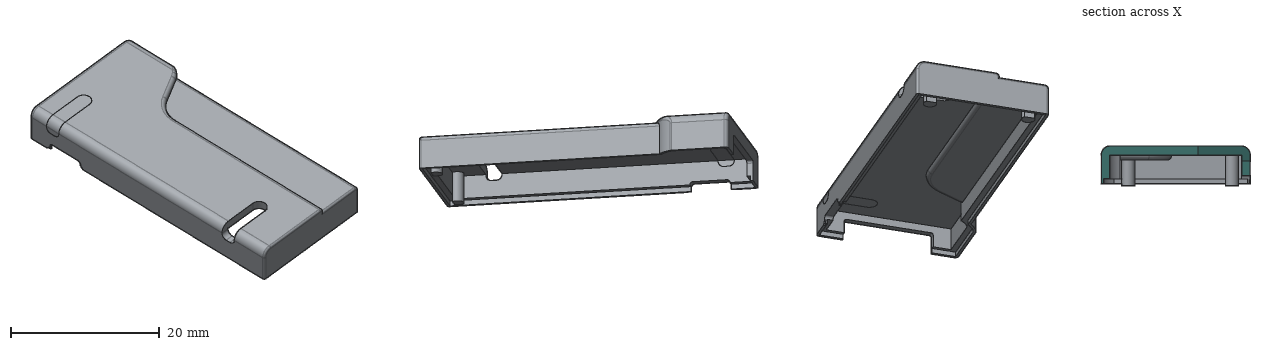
import cadquery as cq
import math

length = 42.7
width = 20.05
height = 5.12
side_radius = 1.3
left_end_radius = 0.55
right_end_radius = 0.3

step_drop = 0.65
step_radius = 0.6
step_y = 11.8
recess_back_y = 18.75
bend_radius = 4.25
lower_bend_x = 15.92
slope_length = 4.25
slope_angle = math.atan(2)

roof = 1.3
left_wall = 0.85
side_wall = 1.2
right_wall = 1.3
rim_wall = 0.4
rim_height = 0.7

slot_width = 2.2
slot_radius = slot_width / 2
slot_end_y = 7.25
slot_bottom = 3.0
slot_corner_radius = 0.75
open_slot_x = 36.1
plug_x = 4.23

end_opening_front = 3.75
end_opening_back = 16.35
end_opening_height = 2.77
end_opening_radius = 0.35

front_opening_left = 3.7
front_opening_right = 9.2
front_opening_height = 1.1
front_opening_radius = 0.43
flare = 0.5
flare_depth = rim_wall / 2

post_radius = 0.9
post_x = 40.85
post_ys = (2.48, 16.4)
post_drop = 0.25


lower_center = (lower_bend_x, step_y + bend_radius)
upper_center = (
    lower_bend_x - 2 * bend_radius * math.sin(slope_angle) - slope_length * math.cos(slope_angle),
    lower_center[1] - 2 * bend_radius * math.cos(slope_angle) + slope_length * math.sin(slope_angle),
)
step_middle_x = (lower_bend_x + length) / 2
slope_normal_angle = math.pi / 2 - slope_angle


def on_upper_bend(angle, inset):
    """Point of the convex bend, with the step drawn inwards by inset."""
    radius = bend_radius - inset
    return (upper_center[0] + radius * math.cos(angle), upper_center[1] + radius * math.sin(angle))


def on_lower_bend(angle, inset):
    """Point of the concave bend, with the step drawn inwards by inset."""
    radius = bend_radius + inset
    return (lower_center[0] - radius * math.cos(angle), lower_center[1] - radius * math.sin(angle))


def upper_bend_angle(y, inset):
    """Angle at which the convex bend crosses the given y."""
    return math.asin((y - upper_center[1]) / (bend_radius - inset))


def footprint(left=0, side=0, right=0):
    """Plan of the whole housing, with each wall drawn inwards by the given amount."""
    back = width - side
    recess_back = recess_back_y - side
    start = upper_bend_angle(back, side)
    end = upper_bend_angle(recess_back, side)
    return (
        cq.Workplane("XY")
        .moveTo(left, side)
        .lineTo(left, back)
        .lineTo(*on_upper_bend(start, side))
        .threePointArc(on_upper_bend((start + end) / 2, side), on_upper_bend(end, side))
        .lineTo(length - right, recess_back)
        .lineTo(length - right, side)
        .close()
    )


def step_slab(bottom, inset=0):
    """Slab as thick as the step is high, lying behind the S-curve moved inwards by inset."""
    start = upper_bend_angle(recess_back_y, inset)
    slope = slope_normal_angle
    lowest = math.pi / 2
    return (
        cq.Workplane("XY", origin=(0, 0, bottom))
        .moveTo(*on_upper_bend(start, inset))
        .threePointArc(on_upper_bend((start + slope) / 2, inset), on_upper_bend(slope, inset))
        .lineTo(*on_lower_bend(slope, inset))
        .threePointArc(on_lower_bend((slope + lowest) / 2, inset), on_lower_bend(lowest, inset))
        .lineTo(length, step_y - inset)
        .lineTo(length, recess_back_y)
        .close()
        .extrude(step_drop)
    )


def nearest_edge(x, y, z):
    return cq.selectors.NearestToPointSelector((x, y, z))


def outer_block():
    """Solid outer shape: rounded long edges, S-shaped step and rounded ends."""
    rounded = cq.Workplane("XY").box(length, width, height, centered=False)
    rounded = rounded.edges("|X and >Z").fillet(side_radius)
    block = footprint().extrude(height).intersect(rounded)
    block = block.cut(step_slab(height - step_drop))
    block = block.faces("<X").edges("not <Z").fillet(left_end_radius)
    block = block.edges(nearest_edge(step_middle_x, step_y, height)).fillet(step_radius)
    block = block.edges(nearest_edge(step_middle_x, recess_back_y, height - step_drop)).fillet(step_radius)
    return block.faces(">X").edges("not <Z").fillet(right_end_radius)


def cavity():
    """Hollow with a stepped ceiling, rounded along the step, and a wider rim at its mouth."""
    high_ceiling = height - roof
    low_ceiling = high_ceiling - step_drop
    lowered = step_slab(low_ceiling, side_wall)
    lowered = lowered.edges(nearest_edge(step_middle_x, step_y - side_wall, low_ceiling)).fillet(step_radius)
    hollow = footprint(left_wall, side_wall, right_wall).extrude(high_ceiling).cut(lowered)
    rim = footprint(rim_wall, rim_wall, rim_wall).extrude(rim_height)
    return hollow.union(rim)


def slot(center_x):
    """Round-ended slot through the roof, running down over the front wall with rounded lower corners."""
    through_roof = (
        cq.Workplane("XY", origin=(center_x, 0, slot_bottom))
        .moveTo(-slot_radius, 0)
        .lineTo(-slot_radius, slot_end_y - slot_radius)
        .threePointArc((0, slot_end_y), (slot_radius, slot_end_y - slot_radius))
        .lineTo(slot_radius, 0)
        .close()
        .extrude(height - slot_bottom)
    )
    lower_corners = (
        cq.Workplane("XY", origin=(center_x - slot_radius, 0, slot_bottom))
        .box(slot_width, slot_end_y, height - slot_bottom, centered=False)
        .edges("|Y and <Z")
        .fillet(slot_corner_radius)
    )
    return through_roof.intersect(lower_corners)


def end_opening():
    """Rounded opening through the left end wall."""
    return (
        cq.Workplane("XY", origin=(0, end_opening_front, 0))
        .box(left_wall, end_opening_back - end_opening_front, end_opening_height, centered=False)
        .edges("|X and >Z")
        .fillet(end_opening_radius)
    )


def front_opening():
    """Low opening through the front wall, flared at its foot on the outside."""
    opening_width = front_opening_right - front_opening_left
    opening = (
        cq.Workplane("XY", origin=(front_opening_left, 0, 0))
        .box(opening_width, side_wall, front_opening_height, centered=False)
        .edges("|Y and >Z")
        .fillet(front_opening_radius)
    )
    flared_foot = (
        cq.Workplane("XZ")
        .moveTo(front_opening_left - flare, 0)
        .lineTo(front_opening_left, flare)
        .lineTo(front_opening_right, flare)
        .lineTo(front_opening_right + flare, 0)
        .close()
        .extrude(-flare_depth)
    )
    return opening.union(flared_foot)


def post(y):
    """Round post from the ceiling to below the rim, cut off flat at the right wall."""
    wall_x = length - right_wall
    half_flat = math.sqrt(post_radius**2 - (wall_x - post_x) ** 2)
    return (
        cq.Workplane("XY", origin=(0, y, -post_drop))
        .moveTo(wall_x, -half_flat)
        .threePointArc((post_x - post_radius, 0), (wall_x, half_flat))
        .close()
        .extrude(height - roof + post_drop)
    )


def make_housing():
    housing = outer_block().cut(cavity())
    housing = housing.cut(end_opening()).cut(front_opening())
    for x in (open_slot_x, plug_x):
        housing = housing.cut(slot(x))
    for y in post_ys:
        housing = housing.union(post(y))
    return housing


def make_plug():
    """Plug that fills the left slot flush with the outside, as thick as the housing."""
    return slot(plug_x).intersect(outer_block()).cut(cavity())


housing = make_housing()
plug = make_plug()

result = cq.Compound.makeCompound([housing.val(), plug.val()])